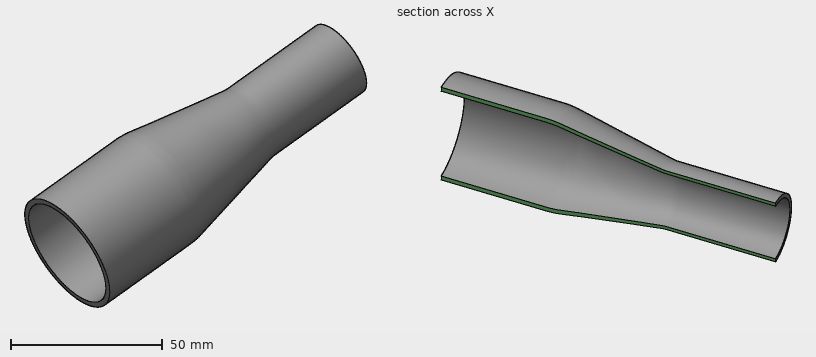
import cadquery as cq
import math

length = 120.0
large_outer_diameter = 42.4
large_bore_diameter = 38.4
small_outer_diameter = 26.9
small_bore_diameter = 23.8

large_corner_y = 40.1
small_corner_y = 79.9


def reducer_body(large_diameter, small_diameter):
    """Solid of revolution: large cylinder, cone and small cylinder, blended by tangent arcs.

    Each blend radius equals the radius of the cylinder it joins.
    """
    large_radius = large_diameter / 2
    small_radius = small_diameter / 2
    cone_angle = math.atan2(large_radius - small_radius, small_corner_y - large_corner_y)
    cosine = math.cos(cone_angle)
    sine = math.sin(cone_angle)

    large_tangent = large_radius * math.tan(cone_angle / 2)
    small_tangent = small_radius * math.tan(cone_angle / 2)

    large_blend_start = (large_radius, large_corner_y - large_tangent)
    large_blend_end = (large_radius - large_tangent * sine, large_corner_y + large_tangent * cosine)
    small_blend_start = (small_radius + small_tangent * sine, small_corner_y - small_tangent * cosine)
    small_blend_end = (small_radius, small_corner_y + small_tangent)

    return (
        cq.Workplane("XY")
        .lineTo(large_radius, 0)
        .lineTo(*large_blend_start)
        .tangentArcPoint(large_blend_end, relative=False)
        .lineTo(*small_blend_start)
        .tangentArcPoint(small_blend_end, relative=False)
        .lineTo(small_radius, length)
        .lineTo(0, length)
        .close()
        .revolve(360, (0, 0, 0), (0, 1, 0))
    )


outside = reducer_body(large_outer_diameter, small_outer_diameter)
bore = reducer_body(large_bore_diameter, small_bore_diameter)

result = outside.cut(bore)